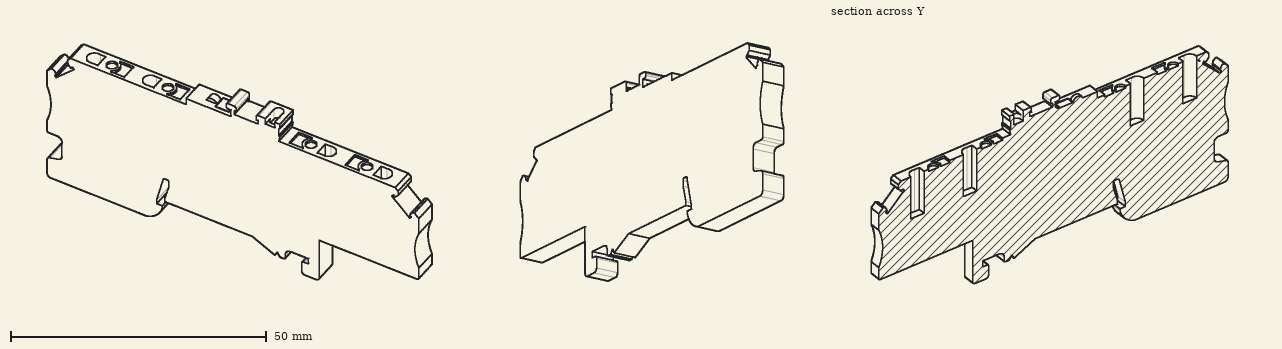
import cadquery as cq
import math

LENGTH = 85.0
THICKNESS = 5.0
HEIGHT = 37.51
HALF_LENGTH = LENGTH / 2
BACK_Y = THICKNESS / 2
WEB_THICKNESS = 0.3

DECK_Z = 33.0
PLATFORM_Z = 34.5
TROUGH_Z = 35.35
WING_Z = 11.5
RAIL_Z = 5.6

NECK_X = -39.1
NECK_RADIUS = 1.0
FOOT_TOP_Z = 4.97
FOOT_TOP_RADIUS = 0.8
FOOT_SLOPE_RISE = 0.86
FOOT_BOTTOM_RADIUS = 1.0
FOOT_END_X = -16.1
FOOT_TIP_Z = 3.8
FOOT_CURVE_START_X = -19.7
FOOT_CURVE_MIDDLE = (-17.45, 1.3)
JAW_Z = 4.3
WING_RADIUS = 0.5

SLIT_MOUTH_X = -17.4
SLIT_BEND_Z = 5.35
SLIT_TOP_LEFT_X = -15.85
SLIT_TOP_RIGHT_X = -14.6
SLIT_SHOULDER_Z = 9.9
SLIT_LIP_X = -15.6
SLIT_LIP_Z = 6.4
SLIT_RADIUS = 0.4

TOOTH_START_X = 4.45
TOOTH_END_X = 12.0
TOOTH_Z = 3.1
TOOTH_CURVE = 1.2
TOOTH_RADIUS = 0.4
NOTCH_X = 10.15
NOTCH_HALF_WIDTH = 0.6
NOTCH_HEIGHT = 0.9

LATCH_LEFT_X = 15.7
LATCH_NECK_X = 17.2
LATCH_RIGHT_X = 19.75
LATCH_BOTTOM_Z = 1.0
LATCH_TIP_RADIUS = 0.5
LATCH_BOTTOM_RADIUS = 0.8

PLATFORM_LEFT_X = -10.7
PLATFORM_RIGHT_X = 10.5
RIM_OVERHANG = 0.25
HOOK_LEFT_X = -1.55
HOOK_RIGHT_X = 0.75
HOOK_STEM_X = -0.5
HOOK_UNDER_Z = 36.15
HOOK_RADIUS = 0.5
BLOCK_LEFT_X = 5.3
TROUGH_UNDERCUT = 0.45
TROUGH_UNDERCUT_HEIGHT = 0.85

SLOT_X = 8.5
SLOT_WIDTH = 2.1
SLOT_LENGTH = 3.4
SLOT_FLOOR_Z = 35.0
SLOT_MOUTH_Z = 36.1

BUTTON_X = -5.9
BUTTON_RADIUS = 1.25
BUTTON_WIDTH = 1.55
RECESS_LEFT_X = -4.6
RECESS_WIDTH = 3.0
RECESS_DEPTH = 0.1
RAMP_START_X = -1.5
RAMP_TOP_Z = 35.4
RAMP_MIDDLE = (-0.8, 34.7)

PROBE_POSITIONS = (16.35, 29.15)
PROBE_DIAMETER = 2.3
PROBE_DEPTH = 0.5
COLLAR_RADIUS = 1.75
WIRE_OFFSET = 4.0
WIRE_RADIUS = 1.55
WIRE_FLAT_OFFSET = 1.65
WIRE_HALF_WIDTH = 1.5
WIRE_DEPTH = 10.0
RELEASE_INNER_OFFSET = 3.9
RELEASE_OUTER_OFFSET = 0.8
RELEASE_WIDTH = 3.6
RELEASE_DEPTH = 0.5

GRIP_TOP_Z = 23.5
GRIP_BOTTOM_Z = 14.6
GRIP_DEPTH = 0.9
UPPER_LIP_X = 37.75
UPPER_LIP_Z = 31.25
UPPER_LIP_CHAMFER = 0.65
LOWER_LIP_X = 40.5
LOWER_LIP_Z = 28.4
LOWER_LIP_WIDTH = 1.0
LOWER_LIP_DROP = 1.0
LOWER_LIP_RADIUS = HALF_LENGTH - LOWER_LIP_WIDTH - LOWER_LIP_X
GROOVE_TOP = (36.65, 30.15)
GROOVE_BOTTOM = (40.05, 26.9)
GROOVE_UNDERCUT = 0.45
GROOVE_UNDERCUT_HEIGHT = 0.5


def side_sketch():
    """XZ workplane on the -Y face; negative extrusion runs towards +Y."""
    return cq.Workplane(cq.Plane((0, -BACK_Y, 0), (1, 0, 0), (0, -1, 0)))


def through(sketch):
    return sketch.extrude(-THICKNESS)


def up_to_web(sketch):
    return sketch.extrude(-(THICKNESS - WEB_THICKNESS))


def box(x0, x1, y0, y1, z0, z1):
    return cq.Workplane("XY").box(x1 - x0, y1 - y0, z1 - z0, centered=False).translate((x0, y0, z0))


def both_ends(solid):
    return solid.union(solid.mirror("YZ"))


def round_corners(solid, corners):
    """Fillet the edges that run along Y through each (x, z, radius)."""
    for x, z, radius in corners:
        solid = solid.edges("|Y").edges(cq.selectors.NearestToPointSelector((x, 0, z))).fillet(radius)
    return solid


def make_body():
    """Plate with the foot, flexing slit and rail latch along its lower edge."""
    outline = (
        side_sketch()
        .moveTo(-HALF_LENGTH, DECK_Z)
        .lineTo(-HALF_LENGTH, WING_Z)
        .lineTo(NECK_X, WING_Z)
        .lineTo(NECK_X, FOOT_TOP_Z + FOOT_SLOPE_RISE)
        .lineTo(-HALF_LENGTH, FOOT_TOP_Z)
        .lineTo(-HALF_LENGTH, 0)
        .lineTo(FOOT_CURVE_START_X, 0)
        .threePointArc(FOOT_CURVE_MIDDLE, (FOOT_END_X, FOOT_TIP_Z))
        .lineTo(FOOT_END_X, JAW_Z)
        .lineTo(SLIT_MOUTH_X, JAW_Z)
        .lineTo(SLIT_MOUTH_X, SLIT_BEND_Z)
        .lineTo(SLIT_TOP_LEFT_X, WING_Z)
        .lineTo(SLIT_TOP_RIGHT_X, WING_Z)
        .lineTo(SLIT_TOP_RIGHT_X, SLIT_SHOULDER_Z)
        .lineTo(SLIT_LIP_X, SLIT_LIP_Z)
        .lineTo(SLIT_LIP_X, RAIL_Z)
        .lineTo(TOOTH_START_X, RAIL_Z)
        .lineTo(NOTCH_X - NOTCH_HALF_WIDTH, TOOTH_Z)
        .lineTo(NOTCH_X, TOOTH_Z + NOTCH_HEIGHT)
        .lineTo(NOTCH_X + NOTCH_HALF_WIDTH, TOOTH_Z)
        .lineTo(TOOTH_END_X, TOOTH_Z)
        .lineTo(TOOTH_END_X, RAIL_Z - TOOTH_CURVE)
        .radiusArc((TOOTH_END_X + TOOTH_CURVE, RAIL_Z), TOOTH_CURVE)
        .lineTo(LATCH_NECK_X, RAIL_Z)
        .lineTo(LATCH_NECK_X, JAW_Z)
        .lineTo(LATCH_LEFT_X, JAW_Z)
        .lineTo(LATCH_LEFT_X, LATCH_BOTTOM_Z)
        .lineTo(LATCH_RIGHT_X, LATCH_BOTTOM_Z)
        .lineTo(LATCH_RIGHT_X, WING_Z)
        .lineTo(HALF_LENGTH, WING_Z)
        .lineTo(HALF_LENGTH, DECK_Z)
        .close()
    )
    body = through(outline)
    corners = (
        (-HALF_LENGTH, WING_Z, WING_RADIUS),
        (HALF_LENGTH, WING_Z, WING_RADIUS),
        (NECK_X, WING_Z, NECK_RADIUS),
        (NECK_X, FOOT_TOP_Z + FOOT_SLOPE_RISE, NECK_RADIUS),
        (-HALF_LENGTH, FOOT_TOP_Z, FOOT_TOP_RADIUS),
        (-HALF_LENGTH, 0, FOOT_BOTTOM_RADIUS),
        (SLIT_TOP_LEFT_X, WING_Z, SLIT_RADIUS),
        (SLIT_TOP_RIGHT_X, WING_Z, SLIT_RADIUS),
        (TOOTH_END_X, TOOTH_Z, TOOTH_RADIUS),
        (LATCH_LEFT_X, JAW_Z, LATCH_TIP_RADIUS),
        (LATCH_LEFT_X, LATCH_BOTTOM_Z, LATCH_BOTTOM_RADIUS),
        (LATCH_RIGHT_X, LATCH_BOTTOM_Z, LATCH_BOTTOM_RADIUS),
    )
    return round_corners(body, corners)


def make_end_cut():
    """Right-hand end: hollow finger grip, and corner cut leaving two lips around the label groove."""
    grip = through(
        side_sketch()
        .moveTo(HALF_LENGTH, GRIP_BOTTOM_Z)
        .threePointArc(
            (HALF_LENGTH - GRIP_DEPTH, (GRIP_BOTTOM_Z + GRIP_TOP_Z) / 2),
            (HALF_LENGTH, GRIP_TOP_Z),
        )
        .close()
    )
    corner = through(
        side_sketch()
        .moveTo(UPPER_LIP_X - UPPER_LIP_CHAMFER, DECK_Z)
        .lineTo(UPPER_LIP_X, DECK_Z - UPPER_LIP_CHAMFER)
        .lineTo(UPPER_LIP_X, UPPER_LIP_Z)
        .lineTo(*GROOVE_TOP)
        .lineTo(*GROOVE_BOTTOM)
        .lineTo(LOWER_LIP_X, LOWER_LIP_Z - LOWER_LIP_RADIUS)
        .radiusArc((LOWER_LIP_X + LOWER_LIP_RADIUS, LOWER_LIP_Z), LOWER_LIP_RADIUS)
        .lineTo(HALF_LENGTH, LOWER_LIP_Z - LOWER_LIP_DROP)
        .lineTo(HALF_LENGTH, DECK_Z)
        .close()
    )
    run = GROOVE_BOTTOM[0] - GROOVE_TOP[0]
    drop = GROOVE_TOP[1] - GROOVE_BOTTOM[1]
    undercut = up_to_web(
        side_sketch()
        .center((GROOVE_TOP[0] + GROOVE_BOTTOM[0]) / 2, (GROOVE_TOP[1] + GROOVE_BOTTOM[1]) / 2)
        .transformed(rotate=(0, 0, -math.degrees(math.atan2(drop, run))))
        .rect(math.hypot(run, drop) + 2 * GROOVE_UNDERCUT, 2 * GROOVE_UNDERCUT_HEIGHT)
    )
    above_floor = through(
        side_sketch()
        .moveTo(GROOVE_TOP[0] - run, GROOVE_TOP[1] + drop)
        .lineTo(GROOVE_BOTTOM[0] + run, GROOVE_BOTTOM[1] - drop)
        .lineTo(GROOVE_BOTTOM[0] + run, GROOVE_TOP[1] + drop)
        .close()
    )
    return grip.union(corner).union(undercut.intersect(above_floor))


def make_platform():
    """Raised platform carrying the hook, the trough and the marker block."""
    base = through(
        side_sketch()
        .moveTo(PLATFORM_LEFT_X, DECK_Z)
        .lineTo(PLATFORM_RIGHT_X, DECK_Z)
        .lineTo(PLATFORM_RIGHT_X + RIM_OVERHANG, PLATFORM_Z - RIM_OVERHANG)
        .lineTo(PLATFORM_RIGHT_X, PLATFORM_Z)
        .lineTo(PLATFORM_LEFT_X, PLATFORM_Z)
        .close()
    )
    top = through(
        side_sketch()
        .moveTo(HOOK_STEM_X, PLATFORM_Z)
        .lineTo(PLATFORM_RIGHT_X, PLATFORM_Z)
        .lineTo(PLATFORM_RIGHT_X, HOOK_UNDER_Z)
        .lineTo(PLATFORM_RIGHT_X + RIM_OVERHANG, HOOK_UNDER_Z + RIM_OVERHANG)
        .lineTo(PLATFORM_RIGHT_X + RIM_OVERHANG, HEIGHT)
        .lineTo(BLOCK_LEFT_X, HEIGHT)
        .lineTo(BLOCK_LEFT_X, TROUGH_Z)
        .lineTo(HOOK_RIGHT_X, TROUGH_Z)
        .lineTo(HOOK_RIGHT_X, HEIGHT)
        .lineTo(HOOK_LEFT_X, HEIGHT)
        .lineTo(HOOK_LEFT_X, HOOK_UNDER_Z)
        .lineTo(HOOK_STEM_X, HOOK_UNDER_Z)
        .close()
    )
    corners = (
        (BLOCK_LEFT_X, HEIGHT, HOOK_RADIUS),
        (HOOK_RIGHT_X, HEIGHT, HOOK_RADIUS),
        (HOOK_LEFT_X, HEIGHT, HOOK_RADIUS),
        (HOOK_LEFT_X, HOOK_UNDER_Z, HOOK_RADIUS),
    )
    top = round_corners(top, corners)
    undercut = up_to_web(
        side_sketch()
        .moveTo(HOOK_RIGHT_X - TROUGH_UNDERCUT, TROUGH_Z)
        .lineTo(BLOCK_LEFT_X + TROUGH_UNDERCUT, TROUGH_Z)
        .lineTo(BLOCK_LEFT_X + TROUGH_UNDERCUT, TROUGH_Z + TROUGH_UNDERCUT_HEIGHT)
        .lineTo(HOOK_RIGHT_X - TROUGH_UNDERCUT, TROUGH_Z + TROUGH_UNDERCUT_HEIGHT)
        .close()
    )
    return base.union(top.cut(undercut))


def make_marker_slot():
    """Rounded slot in the marker block with a shallower mouth open towards -Y."""
    slot = (
        cq.Workplane("XY", origin=(SLOT_X, 0, SLOT_FLOOR_Z))
        .slot2D(SLOT_LENGTH, SLOT_WIDTH, 90)
        .extrude(HEIGHT - SLOT_FLOOR_Z)
    )
    half_width = SLOT_WIDTH / 2
    mouth = box(SLOT_X - half_width, SLOT_X + half_width, -BACK_Y, 0, SLOT_MOUTH_Z, HEIGHT)
    return slot.union(mouth)


def make_recess():
    """Shallow rectangular recess in the platform, between the button and the ramp."""
    half_width = RECESS_WIDTH / 2
    floor_z = PLATFORM_Z - RECESS_DEPTH
    return box(RECESS_LEFT_X, RAMP_START_X, -half_width, half_width, floor_z, PLATFORM_Z)


def make_button():
    """Round-topped button lying across the platform."""
    axis_z = TROUGH_Z - BUTTON_RADIUS
    return (
        cq.Workplane("XZ", origin=(BUTTON_X, 0, axis_z))
        .circle(BUTTON_RADIUS)
        .extrude(BUTTON_WIDTH / 2, both=True)
    )


def make_ramp():
    """Concave ramp from the recess up to the hook stem."""
    return (
        cq.Workplane("XZ")
        .moveTo(RAMP_START_X, PLATFORM_Z - RECESS_DEPTH)
        .threePointArc(RAMP_MIDDLE, (HOOK_STEM_X, RAMP_TOP_Z))
        .lineTo(HOOK_STEM_X, PLATFORM_Z - RECESS_DEPTH)
        .close()
        .extrude(RECESS_WIDTH / 2, both=True)
    )


def make_terminal(probe_x):
    """Wire hole, probe hole with collar, and shallow release slot of one right-hand terminal."""
    deck = cq.Workplane("XY", origin=(probe_x, 0, DECK_Z))
    probe = deck.circle(PROBE_DIAMETER / 2).extrude(-PROBE_DEPTH)
    wire = deck.center(WIRE_OFFSET, 0).circle(WIRE_RADIUS).extrude(-WIRE_DEPTH)
    wire_x = probe_x + WIRE_OFFSET
    wire_flat = box(
        wire_x - WIRE_FLAT_OFFSET, wire_x, -WIRE_HALF_WIDTH, WIRE_HALF_WIDTH, DECK_Z - WIRE_DEPTH, DECK_Z
    )
    release = box(
        probe_x - RELEASE_INNER_OFFSET,
        probe_x - RELEASE_OUTER_OFFSET,
        -RELEASE_WIDTH / 2,
        RELEASE_WIDTH / 2,
        DECK_Z - RELEASE_DEPTH,
        DECK_Z,
    )
    collar = deck.circle(COLLAR_RADIUS).extrude(-RELEASE_DEPTH)
    return release.cut(collar).union(probe).union(wire).union(wire_flat)


result = make_body().cut(both_ends(make_end_cut()))
for position in PROBE_POSITIONS:
    result = result.cut(both_ends(make_terminal(position)))
result = (
    result.union(make_platform())
    .cut(make_marker_slot())
    .cut(make_recess())
    .union(make_button())
    .union(make_ramp())
)